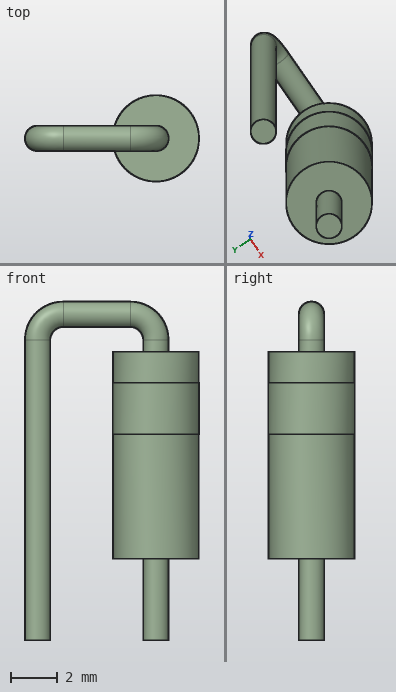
import cadquery as cq


lead_diameter = 1.1
lead_spacing = 5.08
lead_length_below_body = 3.5
bend_radius = lead_diameter

body_diameter = 3.7
body_length = 8.9
band_diameter = 3.72
band_bottom = 0.6 * body_length
band_length = 0.25 * body_length

overall_height = 14.55
lead_bottom = -lead_length_below_body
arch_height = lead_bottom + overall_height - lead_diameter / 2
bend_start_height = arch_height - bend_radius


def cylinder(diameter, bottom, length):
    """Upright cylinder centred on the Z axis."""
    return cq.Workplane("XY").workplane(offset=bottom).circle(diameter / 2).extrude(length)


def make_body():
    """Cylindrical body with a slightly raised band around it."""
    body = cylinder(body_diameter, 0, body_length)
    band = cylinder(band_diameter, band_bottom, band_length)
    return body.union(band)


def make_straight_lead():
    """Short lead that leaves the bottom of the body."""
    return cylinder(lead_diameter, lead_bottom, lead_length_below_body)


def make_folded_lead():
    """Long lead that leaves the top of the body, arches over towards -X and runs down."""
    far_side = -lead_spacing
    path = (
        cq.Workplane("XZ")
        .moveTo(far_side, lead_bottom)
        .lineTo(far_side, bend_start_height)
        .radiusArc((far_side + bend_radius, arch_height), bend_radius)
        .lineTo(-bend_radius, arch_height)
        .radiusArc((0, bend_start_height), bend_radius)
        .lineTo(0, body_length)
    )
    profile = cq.Workplane("XY", origin=(far_side, 0, lead_bottom)).circle(lead_diameter / 2)
    return profile.sweep(path)


result = make_body().union(make_straight_lead()).union(make_folded_lead())